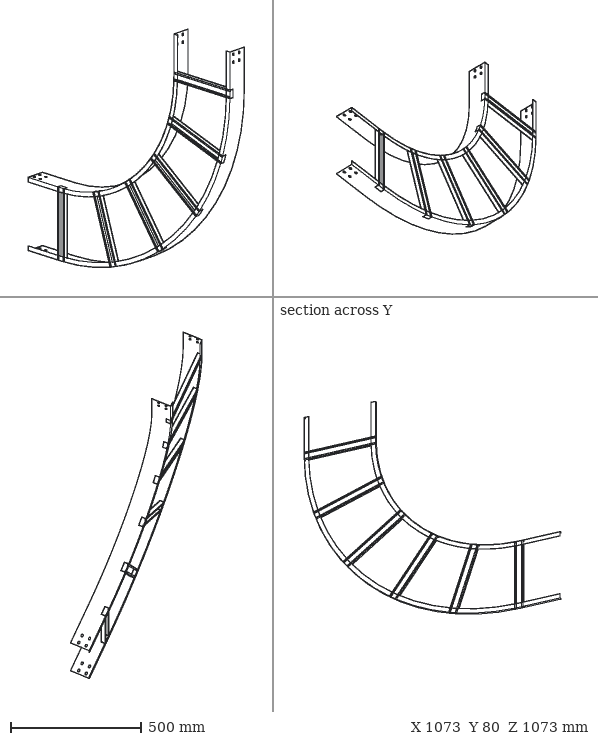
import cadquery as cq
import math

OUTER_RADIUS = 900.0
RAIL_SPACING = 300.0
STRAIGHT = 173.0
BEND_ANGLE = 90.0

RAIL_HEIGHT = 80.0
FLANGE_WIDTH = 20.0
RAIL_THICKNESS = 1.5

CORNER_RADIUS = 2.0

RUNG_COUNT = 6
RUNG_WIDTH = 36.0
RUNG_DEPTH = 18.0
RUNG_LIP = 7.0
RUNG_THICKNESS = 1.5

SLOT_LENGTH = 11.0
SLOT_WIDTH = 7.0
SLOT_END_OFFSETS = (14.0, 46.0)
SLOT_HEIGHTS = (20.0, 51.0)

INNER_RADIUS = OUTER_RADIUS - RAIL_SPACING
CENTER_X = STRAIGHT
CENTER_Z = OUTER_RADIUS


def bent_band(small_radius, large_radius, y_start, y_end):
    """Solid between two radii, following both straight runs and the bend."""
    half_angle = math.radians(BEND_ANGLE / 2)

    def bend_middle(radius):
        return (radius * math.sin(half_angle), -radius * math.cos(half_angle))

    plane = cq.Workplane("XZ", origin=(CENTER_X, y_start, CENTER_Z))
    return (
        plane.moveTo(-STRAIGHT, -large_radius)
        .lineTo(0, -large_radius)
        .threePointArc(bend_middle(large_radius), (large_radius, 0))
        .lineTo(large_radius, STRAIGHT)
        .lineTo(small_radius, STRAIGHT)
        .lineTo(small_radius, 0)
        .threePointArc(bend_middle(small_radius), (0, -small_radius))
        .lineTo(-STRAIGHT, -small_radius)
        .close()
        .extrude(-(y_end - y_start))
    )


def round_corner(rail, radius):
    """Round the sheet-metal corner between a web face of this radius and the flange."""
    corner = (CENTER_X / 2, 0, CENTER_Z - radius)
    edge = rail.edges(cq.NearestToPointSelector(corner))
    return edge.fillet(CORNER_RADIUS)


def make_inner_rail():
    """Angle rail whose flange points away from the bend center."""
    web = bent_band(INNER_RADIUS, INNER_RADIUS + RAIL_THICKNESS, 0, RAIL_HEIGHT)
    flange = bent_band(INNER_RADIUS, INNER_RADIUS + FLANGE_WIDTH, 0, RAIL_THICKNESS)
    return round_corner(web.union(flange), INNER_RADIUS)


def make_outer_rail():
    """Angle rail whose flange points toward the bend center."""
    web = bent_band(OUTER_RADIUS - RAIL_THICKNESS, OUTER_RADIUS, 0, RAIL_HEIGHT)
    flange = bent_band(OUTER_RADIUS - FLANGE_WIDTH, OUTER_RADIUS, 0, RAIL_THICKNESS)
    return round_corner(web.union(flange), OUTER_RADIUS)


def make_rung():
    """Lipped channel hanging down from the bend center, open toward the flanges."""
    middle_y = RAIL_THICKNESS + RUNG_DEPTH / 2
    bottom = cq.Workplane("XY", origin=(CENTER_X, middle_y, CENTER_Z - OUTER_RADIUS))
    outside = bottom.rect(RUNG_WIDTH, RUNG_DEPTH).extrude(RAIL_SPACING)
    cavity = bottom.rect(
        RUNG_WIDTH - 2 * RUNG_THICKNESS, RUNG_DEPTH - 2 * RUNG_THICKNESS
    ).extrude(RAIL_SPACING)
    opening = (
        bottom.center(0, -RUNG_DEPTH / 2)
        .rect(RUNG_WIDTH - 2 * RUNG_LIP, 2 * RUNG_THICKNESS)
        .extrude(RAIL_SPACING)
    )
    return outside.cut(cavity).cut(opening)


def make_rungs():
    """Rungs spread evenly over the bend, trimmed to butt against the inside faces of the webs."""
    step = BEND_ANGLE / (RUNG_COUNT - 1)
    axis_start = (CENTER_X, 0, CENTER_Z)
    axis_end = (CENTER_X, -1, CENTER_Z)
    between_webs = bent_band(
        INNER_RADIUS + RAIL_THICKNESS, OUTER_RADIUS - RAIL_THICKNESS, 0, RAIL_HEIGHT
    )
    rung = make_rung()
    return [
        rung.rotate(axis_start, axis_end, index * step).intersect(between_webs)
        for index in range(RUNG_COUNT)
    ]


def slot_cutter(plane_name, origin, slot_angle):
    """Slot-shaped bar long enough to pass through both rail webs."""
    return (
        cq.Workplane(plane_name, origin=origin)
        .slot2D(SLOT_LENGTH, SLOT_WIDTH, slot_angle)
        .extrude(RAIL_SPACING)
    )


def cut_splice_slots(body):
    """Cut the splice slots, long along the rail, at both ends of both rails."""
    lower_web_z = CENTER_Z - OUTER_RADIUS
    inner_web_x = CENTER_X + INNER_RADIUS
    top_z = CENTER_Z + STRAIGHT
    for offset in SLOT_END_OFFSETS:
        for height in SLOT_HEIGHTS:
            body = body.cut(slot_cutter("XY", (offset, height, lower_web_z), 0))
            body = body.cut(slot_cutter("YZ", (inner_web_x, height, top_z - offset), 90))
    return body


result = make_inner_rail().union(make_outer_rail())
for rung_body in make_rungs():
    result = result.union(rung_body)
result = cut_splice_slots(result)